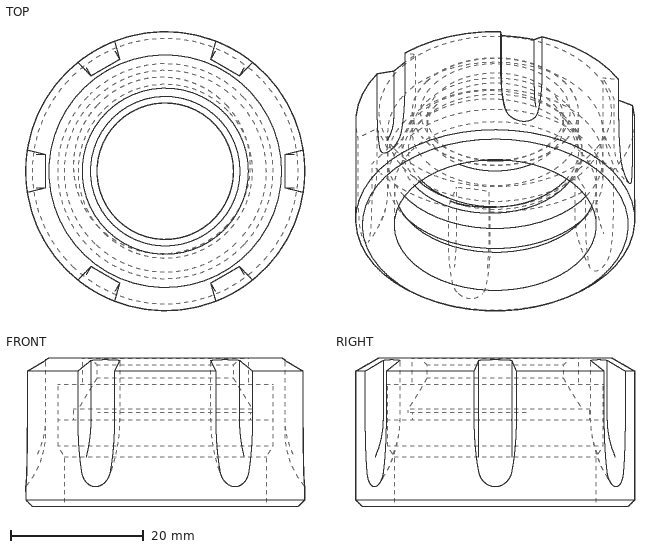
import cadquery as cq
import math

nut_height = 22.4
nut_radius = 21.0
top_face_radius = 17.5
top_chamfer_angle = math.radians(30)
top_chamfer_height = (nut_radius - top_face_radius) * math.tan(top_chamfer_angle)
bottom_chamfer = 1.0

thread_radius = 15.2
cavity_radius = 16.2
lead_in_bottom = 7.5
lead_in_top = 9.1
cavity_top = 18.4

ring_neck_radius = 12.5
ring_recess = 0.1
ring_top = nut_height - ring_recess
ring_bottom = 13.05
ring_bore_radius = 10.25
ring_bore_chamfer = 1.0
cone_top = 19.35
groove_radius = 13.1
groove_top = 14.7
groove_height = 0.5

mouth_radius = 13.3
mouth_offset = 1.0
mouth_direction = math.radians(120)

slot_count = 6
slot_floor_radius = 18.0
slot_half_width = 2.5
slot_flare_angle = math.radians(14)
slot_bottom = 3.0
slot_end_rise = 2.1
run_out_radius = 12.5

slot_depth = nut_radius - slot_floor_radius
run_out_end = slot_bottom + slot_end_rise
run_out_start = run_out_end + math.sqrt(run_out_radius**2 - (run_out_radius - slot_depth) ** 2)
cutter_overrun = 1.0
cutter_reach = slot_depth + cutter_overrun
arc_mid_reach = cutter_reach / 4
cutter_top = nut_height + run_out_radius


def run_out_point(reach):
    """Point (radius, height) on the run-out arc at a given distance outside the slot floor."""
    drop = math.sqrt(run_out_radius**2 - (run_out_radius - reach) ** 2)
    return slot_floor_radius + reach, run_out_start - drop


def make_slot_middle():
    """Round-ended slot shape carried, without turning, along the run-out arc."""
    profile = (
        cq.Workplane("YZ", origin=(slot_floor_radius, 0, 0))
        .moveTo(-slot_half_width, cutter_top)
        .lineTo(-slot_half_width, run_out_start)
        .threePointArc((0, run_out_start - slot_end_rise), (slot_half_width, run_out_start))
        .lineTo(slot_half_width, cutter_top)
        .close()
    )
    path = (
        cq.Workplane("XZ")
        .moveTo(slot_floor_radius, run_out_start)
        .threePointArc(run_out_point(arc_mid_reach), run_out_point(cutter_reach))
    )
    return profile.sweep(path, normal=cq.Vector(1, 0, 0))


def make_slot_flare(side):
    """Sloping slot wall: the outline beside the floor, slid outward at the flare angle."""
    outline = (
        cq.Workplane("XZ", origin=(0, side * slot_half_width, 0))
        .moveTo(slot_floor_radius, cutter_top)
        .lineTo(slot_floor_radius, run_out_start)
        .threePointArc(run_out_point(arc_mid_reach), run_out_point(cutter_reach))
        .lineTo(slot_floor_radius + cutter_reach, cutter_top)
        .close()
    )
    face = cq.Face.makeFromWires(outline.val())
    slide = cq.Vector(cutter_reach, side * cutter_reach * math.tan(slot_flare_angle), 0)
    return cq.Workplane(cq.Solid.extrudeLinear(face, slide))


def make_nut():
    """Revolved nut body with the wrench slots cut around it."""
    section = (
        cq.Workplane("XZ")
        .moveTo(thread_radius, 0)
        .lineTo(nut_radius - bottom_chamfer, 0)
        .lineTo(nut_radius, bottom_chamfer)
        .lineTo(nut_radius, nut_height - top_chamfer_height)
        .lineTo(top_face_radius, nut_height)
        .lineTo(ring_neck_radius, nut_height)
        .lineTo(ring_neck_radius, cavity_top)
        .lineTo(cavity_radius, cavity_top)
        .lineTo(cavity_radius, lead_in_top)
        .lineTo(thread_radius, lead_in_bottom)
        .close()
    )
    nut = section.revolve(360, (0, 0, 0), (0, 1, 0))
    cutters = [make_slot_middle(), make_slot_flare(-1), make_slot_flare(1)]
    for index in range(slot_count):
        angle = index * 360 / slot_count
        for cutter in cutters:
            nut = nut.cut(cutter.rotate((0, 0, 0), (0, 0, 1), angle))
    return nut


def make_ring():
    """Revolved ring, left closed below the groove, then opened by the off-centre mouth."""
    section = (
        cq.Workplane("XZ")
        .moveTo(ring_bore_radius + ring_bore_chamfer, ring_top)
        .lineTo(ring_neck_radius, ring_top)
        .lineTo(ring_neck_radius, cavity_top)
        .lineTo(cavity_radius, cavity_top)
        .lineTo(cavity_radius, ring_bottom)
        .lineTo(0, ring_bottom)
        .lineTo(0, groove_top - groove_height)
        .lineTo(groove_radius, groove_top - groove_height)
        .lineTo(groove_radius, groove_top)
        .lineTo(ring_bore_radius, cone_top)
        .lineTo(ring_bore_radius, ring_top - ring_bore_chamfer)
        .close()
    )
    mouth_x = mouth_offset * math.cos(mouth_direction)
    mouth_y = mouth_offset * math.sin(mouth_direction)
    mouth = (
        cq.Workplane("XY", origin=(mouth_x, mouth_y, ring_bottom))
        .circle(mouth_radius)
        .extrude(groove_top - ring_bottom)
    )
    return section.revolve(360, (0, 0, 0), (0, 1, 0)).cut(mouth)


nut = make_nut()
ring = make_ring()
result = cq.Compound.makeCompound([nut.val(), ring.val()])